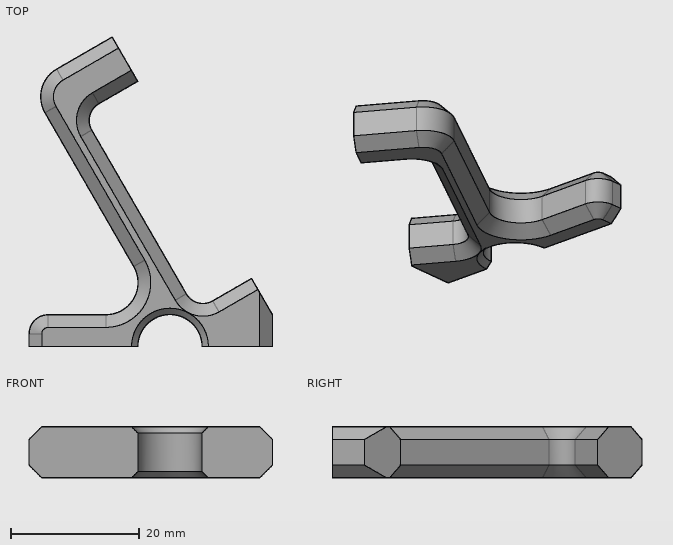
import cadquery as cq
import math

THICKNESS = 8.0
FOOT_END_X = -22.0
JAW_SIDE_X = 16.0
FOOT_HEIGHT = 5.0
OVERALL_HEIGHT = 48.33

LEAN = math.radians(30.0)
ARM_WIDTH = 5.0
HOOK_DEPTH = 8.0
JAW_GAP = 35.5

FOOT_TIP_RADIUS = 3.0
CROTCH_RADIUS = 5.0
CROTCH_START_X = -10.0
HOOK_OUTER_RADIUS = 5.0
JAW_INNER_RADIUS = 3.0

EDGE_BEVEL = 2.0
BORE_RADIUS = 5.0
BORE_BEVEL = 1.0

TOLERANCE = 1e-4

ACROSS = (math.cos(LEAN), math.sin(LEAN))
ALONG = (-math.sin(LEAN), math.cos(LEAN))

crotch_center = (CROTCH_START_X, FOOT_HEIGHT + CROTCH_RADIUS)
arm_outer = crotch_center[0] * ACROSS[0] + crotch_center[1] * ACROSS[1] + CROTCH_RADIUS
arm_inner = arm_outer + ARM_WIDTH
jaw_tip = JAW_SIDE_X * ACROSS[0] + FOOT_HEIGHT * ACROSS[1]

hook_top = (OVERALL_HEIGHT - jaw_tip * ACROSS[1]) / ALONG[1]
hook_seat = hook_top - HOOK_DEPTH
lower_seat = hook_seat - JAW_GAP


def tilted(across, along):
    """Point given by its distances across and along the leaning arm."""
    x = across * ACROSS[0] + along * ALONG[0]
    y = across * ACROSS[1] + along * ALONG[1]
    return (x, y)


def arm_line_at_y(across, y):
    """Point with the given Y on a line parallel to the arm."""
    return ((across - y * ACROSS[1]) / ACROSS[0], y)


def make_body():
    """Extruded outline, centred on Z = 0, with its upright corners rounded."""
    foot_tip = (FOOT_END_X, FOOT_HEIGHT)
    crotch = arm_line_at_y(arm_outer, FOOT_HEIGHT)
    hook_outer = tilted(arm_outer, hook_top)
    hook_inner = tilted(arm_inner, hook_seat)
    seat_inner = tilted(arm_inner, lower_seat)
    outline = [
        (FOOT_END_X, 0),
        foot_tip,
        crotch,
        hook_outer,
        tilted(jaw_tip, hook_top),
        tilted(jaw_tip, hook_seat),
        hook_inner,
        seat_inner,
        tilted(jaw_tip, lower_seat),
        (JAW_SIDE_X, FOOT_HEIGHT),
        (JAW_SIDE_X, 0),
    ]
    rounded_corners = [
        (foot_tip, FOOT_TIP_RADIUS),
        (crotch, CROTCH_RADIUS),
        (hook_outer, HOOK_OUTER_RADIUS),
        (hook_inner, JAW_INNER_RADIUS),
        (seat_inner, JAW_INNER_RADIUS),
    ]
    body = cq.Workplane("XY").polyline(outline).close().extrude(THICKNESS / 2, both=True)
    for (x, y), radius in rounded_corners:
        corner = cq.selectors.NearestToPointSelector((x, y, 0))
        body = body.edges("|Z").edges(corner).fillet(radius)
    return body


def is_bevelled(edge):
    """True unless the edge borders the base or one of the flat jaw tips."""
    middle = edge.positionAt(0.5)
    on_base = abs(middle.y) < TOLERANCE
    distance_across = middle.x * ACROSS[0] + middle.y * ACROSS[1]
    on_jaw_tip = abs(distance_across - jaw_tip) < TOLERANCE
    return not (on_base or on_jaw_tip)


def bevel_outline(body):
    """Bevel the upper and lower rims of the outline, except along the base and the jaw tips."""
    rim_edges = body.faces("<Z or >Z").edges().vals()
    bevelled = [edge for edge in rim_edges if is_bevelled(edge)]
    return body.newObject(bevelled).chamfer(EDGE_BEVEL)


def make_bore():
    """Bore tool along Z, flared at both ends for the bevelled rims."""
    half = THICKNESS / 2
    rim_radius = BORE_RADIUS + BORE_BEVEL
    profile = [
        (0, -half),
        (rim_radius, -half),
        (BORE_RADIUS, BORE_BEVEL - half),
        (BORE_RADIUS, half - BORE_BEVEL),
        (rim_radius, half),
        (0, half),
    ]
    return cq.Workplane("XZ").polyline(profile).close().revolve(360, (0, 0), (0, 1))


result = bevel_outline(make_body()).cut(make_bore())